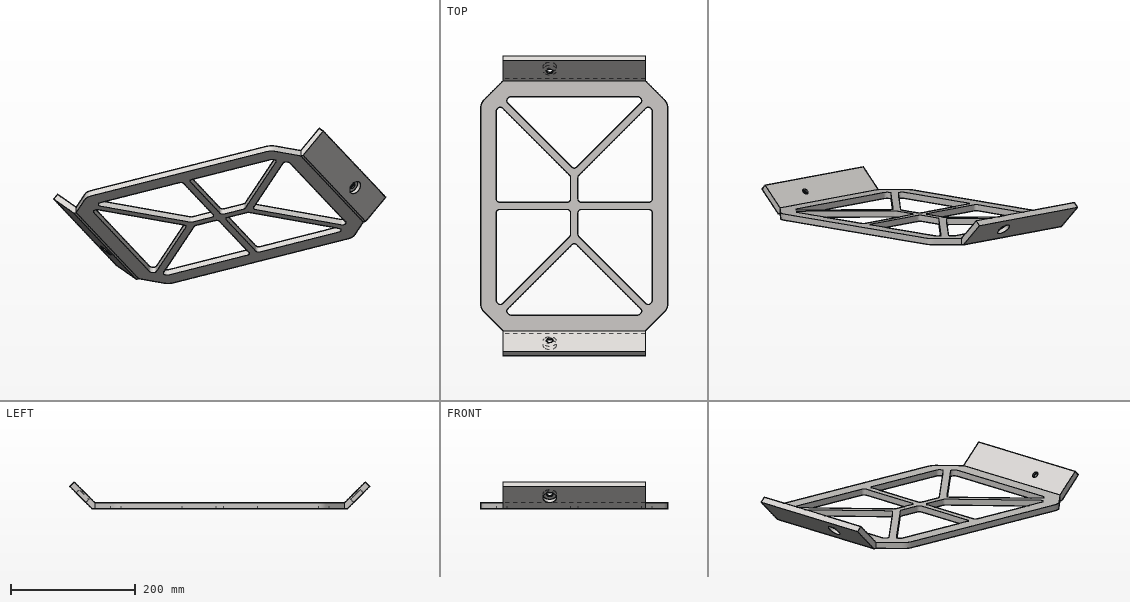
import cadquery as cq
import math

plate_length_x = 300.0
plate_length_y = 400.0
thickness = 10.16
rim_width = 25.4
rib_width = 12.0
diagonal_width = 12.0
window_fillet = 5.08
corner_fillet = 20.0

flange_width = 228.2
flange_slope_length = 50.8
flange_angle = 45.0

hole_x = -39.2
hole_diameter = 10.0
counterbore_diameter = 21.9
counterbore_depth = 7.1

half_x = plate_length_x / 2
half_y = plate_length_y / 2
slope_cos = math.cos(math.radians(flange_angle))
slope_sin = math.sin(math.radians(flange_angle))


def make_window(points):
    """Solid that cuts one rounded window through the plate."""
    window = cq.Workplane("XY").polyline(points).close().extrude(thickness)
    return window.edges("|Z").fillet(window_fillet)


def make_frame():
    """Plate with cut corners and six windows, leaving a cross of ribs and four 45 degree diagonal ribs."""
    corner_cut = (plate_length_x - flange_width) / 2
    frame = (
        cq.Workplane("XY")
        .rect(plate_length_x, plate_length_y)
        .extrude(thickness)
        .edges("|Z")
        .chamfer(corner_cut)
    )
    frame = frame.edges("|Z and (<X or >X)").fillet(corner_fillet)

    inner_x = half_x - rim_width
    inner_y = half_y - rim_width
    half_rib = rib_width / 2
    inner_corner_sum = half_x + half_y - corner_cut - rim_width * math.sqrt(2)
    diagonal_rise = inner_y - inner_x
    diagonal_offset = diagonal_width / math.sqrt(2)
    end_rise = diagonal_rise + diagonal_offset
    side_rise = diagonal_rise - diagonal_offset
    end_tip_x = (inner_corner_sum - end_rise) / 2
    side_tip_x = (inner_corner_sum - side_rise) / 2

    for side_y in (1, -1):
        frame = frame.cut(make_window([
            (0, side_y * end_rise),
            (end_tip_x, side_y * (end_tip_x + end_rise)),
            (inner_corner_sum - inner_y, side_y * inner_y),
            (inner_y - inner_corner_sum, side_y * inner_y),
            (-end_tip_x, side_y * (end_tip_x + end_rise)),
        ]))
        for side_x in (1, -1):
            frame = frame.cut(make_window([
                (side_x * half_rib, side_y * half_rib),
                (side_x * inner_x, side_y * half_rib),
                (side_x * inner_x, side_y * (inner_corner_sum - inner_x)),
                (side_x * side_tip_x, side_y * (side_tip_x + side_rise)),
                (side_x * half_rib, side_y * (half_rib + side_rise)),
            ]))
    return frame


def make_flange():
    """Flange rising outward from the +Y end of the plate, with its counterbored hole."""
    foot_y = half_y + thickness * math.tan(math.radians(flange_angle / 2))
    tip_y = foot_y + flange_slope_length * slope_cos
    tip_z = flange_slope_length * slope_sin
    flange = (
        cq.Workplane("YZ")
        .moveTo(half_y, 0)
        .lineTo(foot_y, 0)
        .lineTo(tip_y, tip_z)
        .lineTo(tip_y - thickness * slope_sin, tip_z + thickness * slope_cos)
        .lineTo(half_y, thickness)
        .close()
        .extrude(flange_width / 2, both=True)
    )

    hole_center = (hole_x, (foot_y + tip_y) / 2, tip_z / 2)
    inward = (0, -slope_sin, slope_cos)
    hole_plane = cq.Plane(origin=hole_center, xDir=(1, 0, 0), normal=inward)
    hole = cq.Workplane(hole_plane).circle(hole_diameter / 2).extrude(thickness)
    counterbore = cq.Workplane(hole_plane).circle(counterbore_diameter / 2).extrude(counterbore_depth)
    return flange.cut(hole).cut(counterbore)


frame = make_frame()
back_flange = make_flange()
front_flange = back_flange.mirror("XZ")

result = cq.Compound.makeCompound([frame.val(), back_flange.val(), front_flange.val()])